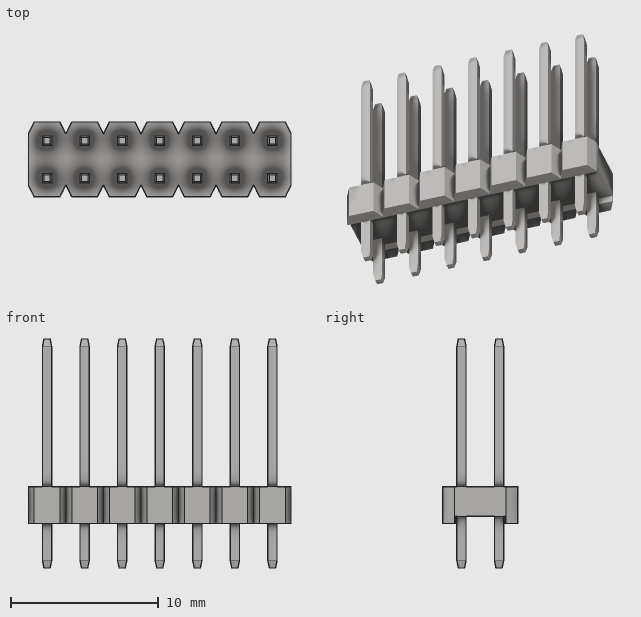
import cadquery as cq

column_count = 7
row_count = 2
length = 17.78
pitch = length / column_count
depth = row_count * pitch

housing_height = 2.5
notch_depth = 0.8
notch_half_width = notch_depth / 2
channel_width = 3.3
channel_height = 0.5

pin_width = 0.64
pin_end_width = 0.43
pin_tip_length = 0.52
pin_length_above = 10.0
pin_length_below = 3.0


def make_housing():
    """Block with V-notches between columns and matching bevels on the four corners."""
    housing = cq.Workplane("XY").box(length, depth, housing_height, centered=(True, True, False))
    for boundary in range(column_count + 1):
        x = boundary * pitch - length / 2
        for side in (-1, 1):
            edge_y = side * depth / 2
            notch = (
                cq.Workplane("XY")
                .moveTo(x - notch_half_width, edge_y)
                .lineTo(x, edge_y - side * notch_depth)
                .lineTo(x + notch_half_width, edge_y)
                .close()
                .extrude(housing_height)
            )
            housing = housing.cut(notch)
    channel = cq.Workplane("XY").box(length, channel_width, channel_height, centered=(True, True, False))
    return housing.cut(channel)


def make_tip(base_z, direction):
    """Tapered pin tip starting at base_z and pointing up (1) or down (-1)."""
    return (
        cq.Workplane("XY", origin=(0, 0, base_z))
        .rect(pin_width, pin_width)
        .workplane(offset=direction * pin_tip_length)
        .rect(pin_end_width, pin_end_width)
        .loft()
    )


def make_pin():
    """Square pin on the Z axis, tapered at both ends."""
    shank_bottom = pin_tip_length - pin_length_below
    shank_top = housing_height + pin_length_above - pin_tip_length
    shank = (
        cq.Workplane("XY", origin=(0, 0, shank_bottom))
        .rect(pin_width, pin_width)
        .extrude(shank_top - shank_bottom)
    )
    return shank.union(make_tip(shank_top, 1)).union(make_tip(shank_bottom, -1))


result = make_housing()
pin = make_pin()
for column in range(column_count):
    pin_x = (column - (column_count - 1) / 2) * pitch
    for row in range(row_count):
        pin_y = (row - (row_count - 1) / 2) * pitch
        result = result.union(pin.translate((pin_x, pin_y, 0)))